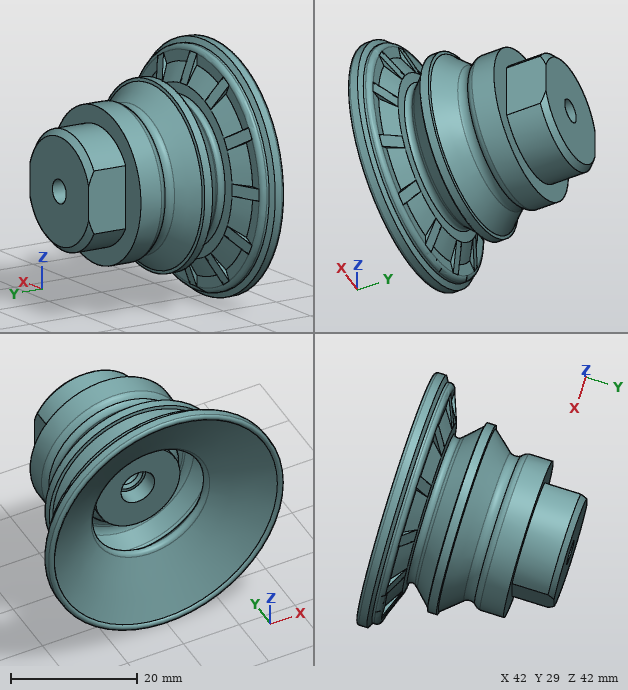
import cadquery as cq

total_length = 29.0
lip_radius = 42.0 / 2
body_radius = 26.0 / 2
body_back = 22.0

boss_radius = 10.0
boss_chamfer = 1.0
flat_distance = 17.1

lip_round = 0.5
lip_band_top = 1.8
bead_radius = 20.06
bead_bottom = 2.35
bead_top = 3.67
bead_round = 0.9
cup_base_radius = 17.3
cup_shoulder = (14.2, 5.56)
neck_radius = 12.06
front_neck_y = 6.5
front_neck_start = (12.5, 5.8)
front_neck_end = (12.3, 7.1)
front_cone_start = (12.75, 7.6)
ring_radius = 15.75
ring_root_radius = 15.2
ring_front = 10.25
ring_back = 11.72
ring_side_slope = 0.13
rear_neck_start = (12.3, 15.2)
rear_neck_y = 15.9
rear_neck_end = (12.3, 16.96)
shoulder_middle = (12.83, 17.6)
body_front = 18.1

cup_throat = (10.6, 5.7)
throat_radius = 10.06
throat_y = 6.4
throat_end = (10.35, 7.2)
bellows_front = (13.8, 10.6)
bellows_middle = (14.05, 11.0)
bellows_back = (13.9, 11.4)
groove_outer = (12.0, 13.7)
groove_outer_middle = (11.42, 14.09)
groove_floor = 14.25
floor_outer_radius = 10.7
floor_inner_radius = 10.3
groove_inner_middle = (9.2, 13.75)
groove_inner = (8.73, 12.7)
hub_radius = 7.54
hub_face = 10.0
hub_cone_start = 11.0

hole_radius = 4.0 / 2
counterbore_radius = 6.0 / 2
counterbore_depth = 3.0
countersink_radius = 5.0 / 2

rib_count = 12
rib_width = 2.0
rib_embed = 0.5


def turned(profile):
    """Revolve a closed (radius, y) profile a full turn about the Y axis."""
    return profile.close().revolve(360, (0, 0, 0), (0, 1, 0))


def make_body():
    """Cup, bellows and mounting body as one turned ring with its hollow."""
    lip_inner_radius = lip_radius - 2 * lip_round
    lip_centre_radius = lip_radius - lip_round
    profile = (
        cq.Workplane("XY")
        .moveTo(lip_inner_radius, lip_round)
        .threePointArc((lip_centre_radius, 0), (lip_radius, lip_round))
        .lineTo(lip_radius, lip_band_top)
        .lineTo(bead_radius, bead_bottom)
        .lineTo(bead_radius, bead_top - bead_round)
        .tangentArcPoint((bead_radius - bead_round, bead_top), relative=False)
        .lineTo(cup_base_radius, bead_top)
        .lineTo(*cup_shoulder)
        .lineTo(*front_neck_start)
        .threePointArc((neck_radius, front_neck_y), front_neck_end)
        .lineTo(*front_cone_start)
        .lineTo(ring_root_radius, ring_front - ring_side_slope)
        .lineTo(ring_radius, ring_front)
        .lineTo(ring_radius, ring_back)
        .lineTo(ring_root_radius, ring_back + ring_side_slope)
        .lineTo(*rear_neck_start)
        .threePointArc((neck_radius, rear_neck_y), rear_neck_end)
        .threePointArc(shoulder_middle, (body_radius, body_front))
        .lineTo(body_radius, body_back)
        .lineTo(0, body_back)
        .lineTo(0, hub_face)
        .lineTo(hub_radius, hub_face)
        .lineTo(hub_radius, hub_cone_start)
        .lineTo(*groove_inner)
        .threePointArc(groove_inner_middle, (floor_inner_radius, groove_floor))
        .lineTo(floor_outer_radius, groove_floor)
        .threePointArc(groove_outer_middle, groove_outer)
        .lineTo(*bellows_back)
        .threePointArc(bellows_middle, bellows_front)
        .lineTo(*throat_end)
        .threePointArc((throat_radius, throat_y), cup_throat)
    )
    return turned(profile)


def make_boss():
    """Round boss with a chamfered end and two flats facing +X and -X."""
    boss = turned(
        cq.Workplane("XY")
        .moveTo(0, hub_face + counterbore_depth)
        .lineTo(hub_radius, hub_face + counterbore_depth)
        .lineTo(hub_radius, body_back)
        .lineTo(boss_radius, body_back)
        .lineTo(boss_radius, total_length - boss_chamfer)
        .lineTo(boss_radius - boss_chamfer, total_length)
        .lineTo(0, total_length)
    )
    flats = cq.Workplane("XY").box(flat_distance, 2 * total_length, 2 * boss_radius)
    return boss.intersect(flats)


def make_ribs():
    """Radial ribs that rise out of the cup cone towards the outer bead."""
    rib = (
        cq.Workplane("XY")
        .moveTo(*cup_shoulder)
        .lineTo(bead_radius - bead_round, bead_top)
        .lineTo(bead_radius - bead_round, bead_top - rib_embed)
        .lineTo(cup_base_radius, bead_top - rib_embed)
        .lineTo(cup_shoulder[0], cup_shoulder[1] - rib_embed)
        .close()
        .extrude(rib_width / 2, both=True)
    )
    ribs = rib
    for index in range(1, rib_count):
        ribs = ribs.union(rib.rotate((0, 0, 0), (0, 1, 0), index * 360 / rib_count))
    return ribs


def make_hole():
    """Through hole, counterbored and countersunk from the hub face."""
    step = hub_face + counterbore_depth
    return turned(
        cq.Workplane("XY")
        .lineTo(counterbore_radius, 0)
        .lineTo(counterbore_radius, step)
        .lineTo(countersink_radius, step)
        .lineTo(hole_radius, step + countersink_radius - hole_radius)
        .lineTo(hole_radius, total_length)
        .lineTo(0, total_length)
    )


result = make_body().union(make_ribs()).union(make_boss()).cut(make_hole())